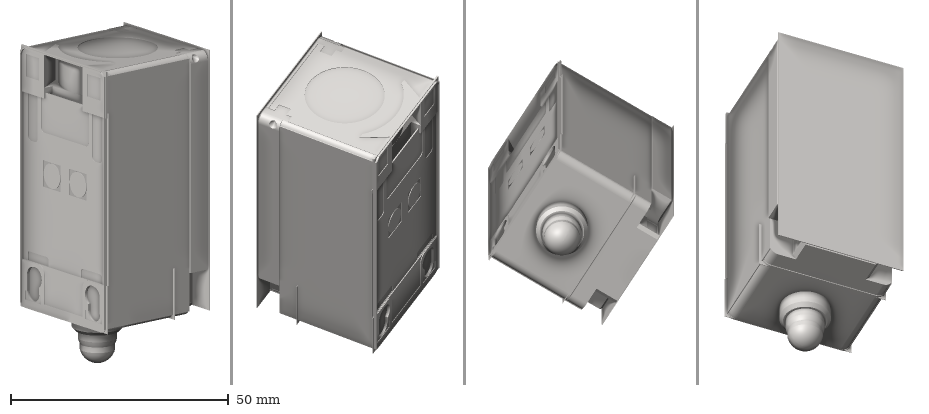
import cadquery as cq
import math


overall_width = 31.7
overall_depth = 31.1
overall_height = 74.1
plunger_length = 11.8
sheet = 0.2
flange_thickness = 0.11
mark_depth = 0.15

front_y = -overall_depth / 2
back_y = overall_depth / 2
top_z = overall_height - plunger_length

body_width = 30.5
body_height = top_z - sheet
edge_radius = 2.15
face_setback = 0.9
plate_setback = 0.45
face_y = front_y + face_setback
plate_y = front_y + plate_setback
side_skin_bottom = 1.05
side_skin_drop = 1.1
top_skin_width = 27.6

lid_width = 31.3
lid_front_y = 9.7
lid_bottom = 10.2
lid_chamfer = 0.45
back_plate_bottom = 0.4

core_width = 19.3
core_neck_front_y, core_neck_bottom = 10.2, 1.05
core_chamfer = 0.9
wedge_size, cove_radius = 1.5, 2.45
core_panel_front_y, core_panel_back_y = 12.0, 14.8
core_panel_bottom, core_panel_top = 1.4, 7.25
floor_groove_y, floor_groove_depth = 5.5, 1.05

seam_width, seam_y = 24.0, 14.2
hook_front_y, hook_outer = 8.3, 13.8
tongue_inner, tongue_front_y, tongue_back_y = 9.85, 9.7, 12.75
dimple_y, dimple_drop, dimple_radius, dimple_length = 11.4, 1.05, 1.2, 1.7

face_plate_bottom = 11.4
face_plate_drop = 9.85
face_plate_top = top_z - face_plate_drop
rear_flange_y = 4.9
rear_flange_height = 12.15

bore_y = 1.0
circle_radius = 9.2
pocket_wall_radius = 13.55
pocket_back_y = -8.75
pocket_back_half = 10.75
pocket_front_half = 7.0
pocket_depth = 8.5
well_depth = 13.35
well_wall = 0.45

tab_height = 11.05
tab_outer = 15.5
window_inner, window_outer = 8.8, 13.5
window_drop, window_height = 1.85, 5.3
panel_width, panel_drop = 17.35, 19.35
groove_x, groove_width, groove_drop = 11.7, 3.55, 22.3
panel_radius = 1.0
lamp_x, lamp_drop, lamp_square, lamp_diameter = 4.75, 29.1, 6.3, 6.0
ear_x, ear_width, ear_top, ear_radius = 9.7, 7.55, 13.55, 0.75

foot_width = 30.4
foot_top = 11.3
foot_radius = 1.5
web_bottom, web_radius = 2.3, 2.0
slot_x, slot_radius, slot_low_z, slot_high_z = 11.05, 2.15, 4.2, 8.15
keyhole_x, keyhole_radius, keyhole_z = 10.45, 2.6, 7.85
keyhole_depth = 0.75
latch_width, latch_height, latch_bottom = 5.85, 2.15, 2.0

plunger_y = -5.05
collar_radius, collar_end, collar_lip = 5.9, 3.1, 4.0
collar_lip_radius = 5.1
stem_radius, stem_end, stem_lip = 4.5, 5.8, 7.1
tip_radius, tip_end = 4.1, 8.45

SIDES = (-1, 1)


def box(x0, x1, y0, y1, z0, z1):
    """Axis-aligned block between two opposite corners."""
    size = (abs(x1 - x0), y1 - y0, z1 - z0)
    return cq.Workplane("XY").box(*size, centered=False).translate((min(x0, x1), y0, z0))


def wide_box(width, y0, y1, z0, z1):
    """Block centred on the plane of symmetry."""
    return box(-width / 2, width / 2, y0, y1, z0, z1)


def front_plane(y):
    """Sketch plane facing -Y; positive extrusion goes toward -Y."""
    return cq.Workplane("XZ", origin=(0, y, 0))


def make_housing():
    """Rounded block with thin flat skins over its long edges and a rim around its front face."""
    body = wide_box(body_width, front_y, lid_front_y, 0, body_height)
    body = body.edges("|Y").fillet(edge_radius)
    skin_top = top_z - side_skin_drop
    for side in SIDES:
        outer = side * body_width / 2
        inner = outer - side * sheet
        body = body.union(box(outer, inner, front_y, lid_front_y, side_skin_bottom, skin_top))
    body = body.union(wide_box(top_skin_width, front_y, hook_front_y, body_height - sheet, body_height))
    recess = wide_box(body_width - 2 * sheet, front_y, face_y, 0, body_height - sheet)
    return body.cut(recess.edges("|Y and >Z").fillet(edge_radius - sheet))


def make_rear_core():
    """Narrow block under the lid, with a shallow neck and panel in each side and flared joints to the lid."""
    core = wide_box(core_width, lid_front_y, back_y - sheet, 0, lid_bottom)
    core = core.edges("|Y and <Z").chamfer(core_chamfer)
    for side in SIDES:
        outer = side * core_width / 2
        neck = outer - side * mark_depth
        core = core.cut(
            box(outer, neck, core_neck_front_y, back_y - sheet, core_neck_bottom, lid_bottom))
        core = core.cut(
            box(neck, neck - side * mark_depth, core_panel_front_y, core_panel_back_y,
                core_panel_bottom, core_panel_top))
        wedge = (
            front_plane(core_neck_front_y)
            .moveTo(neck, lid_bottom - wedge_size)
            .lineTo(neck + side * wedge_size, lid_bottom)
            .lineTo(neck, lid_bottom)
            .close()
            .extrude(core_neck_front_y - core_panel_front_y)
        )
        cove_x = neck + side * cove_radius
        cove_z = lid_bottom - cove_radius
        cove = box(neck, cove_x, core_panel_front_y, core_panel_back_y, cove_z, lid_bottom)
        hollow = (
            front_plane(core_panel_front_y).center(cove_x, cove_z)
            .circle(cove_radius).extrude(core_panel_front_y - core_panel_back_y)
        )
        core = core.union(wedge).union(cove.cut(hollow))
    return core


def make_lid():
    """Rear lid with rounded upper corners and a thin square-cornered back plate."""
    lid = wide_box(lid_width, lid_front_y, back_y - sheet, lid_bottom, body_height)
    lid = lid.edges("|Y and >Z").fillet(edge_radius)
    lid = lid.faces(">Y").edges().chamfer(lid_chamfer)
    return lid.union(wide_box(lid_width, back_y - sheet, back_y, back_plate_bottom, top_z))


def make_flanges():
    """Three thin plates that stand out on both sides of the housing."""
    def flange(y, z0, z1):
        return wide_box(overall_width, y, y + flange_thickness, z0, z1)

    face_plate = flange(face_y, face_plate_bottom, face_plate_top)
    foot_flange = flange(plate_y + mark_depth, 0, face_plate_bottom)
    rear_flange = flange(rear_flange_y, 0, rear_flange_height)
    return face_plate.union(foot_flange).union(rear_flange)


def pocket_outline(z):
    """Dovetail opening to the front whose rear wall bulges forward."""
    arc_half = math.sqrt(pocket_wall_radius ** 2 - (bore_y - pocket_back_y) ** 2)
    return (
        cq.Workplane("XY", origin=(0, 0, z))
        .moveTo(-pocket_front_half, plate_y)
        .lineTo(-pocket_back_half, pocket_back_y)
        .lineTo(-arc_half, pocket_back_y)
        .threePointArc((0, bore_y - pocket_wall_radius), (arc_half, pocket_back_y))
        .lineTo(pocket_back_half, pocket_back_y)
        .lineTo(pocket_front_half, plate_y)
        .close()
    )


def add_tabs(body):
    """Two plates at the upper front corners, each with a shallow window."""
    for side in SIDES:
        body = body.union(
            box(side * pocket_front_half, side * tab_outer, plate_y, face_y, top_z - tab_height, top_z))
        window_top = top_z - window_drop
        body = body.cut(
            box(side * window_inner, side * window_outer, plate_y, plate_y + mark_depth,
                window_top - window_height, window_top))
    return body


def cut_top(body):
    """Shallow disc and a dovetail pocket with a front well, roofed by a thin raised panel."""
    disc = cq.Workplane("XY", origin=(0, bore_y, body_height)).circle(circle_radius)
    body = body.cut(disc.extrude(-mark_depth))
    pocket_floor = top_z - pocket_depth
    body = body.cut(pocket_outline(pocket_floor).extrude(body_height - sheet - pocket_floor))
    mouth = wide_box(2 * pocket_front_half, front_y, plate_y + sheet, pocket_floor, body_height - sheet)
    body = body.cut(mouth)
    wall_front_y = bore_y - pocket_wall_radius
    body = body.cut(
        wide_box(2 * pocket_front_half, face_y + well_wall, wall_front_y, top_z - well_depth, pocket_floor))
    body = body.cut(
        wide_box(2 * pocket_front_half, face_y, face_y + well_wall, face_plate_top, pocket_floor))
    return body.union(pocket_outline(body_height - sheet).extrude(2 * sheet))


def cut_lid_details(body):
    """Seam, shallow hook recesses and conical corner dimples at the rear of the top."""
    marks_z = body_height - mark_depth
    body = body.cut(wide_box(seam_width, seam_y, seam_y + mark_depth, marks_z, body_height))
    for side in SIDES:
        root = side * seam_width / 2
        body = body.cut(
            box(root, side * hook_outer, hook_front_y, back_y - sheet, marks_z, body_height))
        body = body.cut(
            box(root, side * tongue_inner, tongue_front_y, tongue_back_y, marks_z, body_height))
        dimple = cq.Solid.makeCone(
            dimple_radius, 0, dimple_length,
            pnt=cq.Vector(side * lid_width / 2, dimple_y, top_z - dimple_drop),
            dir=cq.Vector(-side, 0, 0),
        )
        body = body.cut(cq.Workplane(dimple))
    return body


def cut_front_panels(body):
    """Shallow centre panel, side grooves, lamp windows and ears on the front face."""
    panel_top = face_plate_top

    def panel(x, width, z0, z1, radius, edges):
        block = box(x - width / 2, x + width / 2, face_y, face_y + mark_depth, z0, z1)
        return block.edges(edges).fillet(radius)

    body = body.cut(panel(0, panel_width, top_z - panel_drop, panel_top, panel_radius, "|Y and <Z"))
    for side in SIDES:
        body = body.cut(
            panel(side * groove_x, groove_width, top_z - groove_drop, panel_top, panel_radius, "|Y and <Z"))
        body = body.cut(
            panel(side * ear_x, ear_width, face_plate_bottom, ear_top, ear_radius, "|Y and >Z"))
        lamp = front_plane(face_y).center(side * lamp_x, top_z - lamp_drop)
        body = body.cut(lamp.rect(lamp_square, lamp_square).extrude(-mark_depth))
        body = body.union(lamp.circle(lamp_diameter / 2).extrude(-mark_depth))
    return body


def add_foot(body):
    """Foot plate with a shallow centre web and a keyhole slot on each side."""
    foot = wide_box(foot_width, plate_y, face_y, 0, foot_top)
    body = body.union(foot.edges("|Y and <Z").fillet(foot_radius))
    web_y = plate_y + mark_depth
    web = wide_box(2 * pocket_front_half, plate_y, web_y, web_bottom, foot_top)
    for side in SIDES:
        round_x = side * (pocket_front_half + web_radius)
        round_z = foot_top - web_radius
        corner = box(side * pocket_front_half, round_x, plate_y, web_y, round_z, foot_top)
        leg_round = front_plane(web_y).center(round_x, round_z).circle(web_radius).extrude(mark_depth)
        web = web.union(corner.cut(leg_round))
    body = body.cut(web)
    for side in SIDES:
        middle = (slot_low_z + slot_high_z) / 2
        length = slot_high_z - slot_low_z + 2 * slot_radius
        slot = (
            front_plane(plate_y).center(side * slot_x, middle)
            .slot2D(length, 2 * slot_radius, 90).extrude(-keyhole_depth)
        )
        head = (
            front_plane(plate_y).center(side * keyhole_x, keyhole_z)
            .circle(keyhole_radius).extrude(-keyhole_depth)
        )
        latch = (
            front_plane(plate_y).center(side * slot_x, latch_bottom + latch_height / 2)
            .rect(latch_width, latch_height).extrude(-mark_depth)
        )
        body = body.cut(slot).cut(head).cut(latch)
    return body


def make_plunger():
    """Stepped, domed plunger turned about a vertical axis."""
    dome_height = plunger_length - tip_end
    dome_radius = (tip_radius ** 2 + dome_height ** 2) / (2 * dome_height)
    half_angle = math.asin(tip_radius / dome_radius) / 2
    dome_middle = (
        dome_radius * math.sin(half_angle),
        -plunger_length + dome_radius * (1 - math.cos(half_angle)),
    )
    stem_round_middle = (
        tip_radius + (stem_radius - tip_radius) * math.sqrt(0.5),
        -stem_end - (stem_lip - stem_end) / 2,
    )
    profile = (
        cq.Workplane("XZ")
        .moveTo(0, sheet)
        .lineTo(collar_radius, sheet)
        .lineTo(collar_radius, -collar_end)
        .lineTo(collar_lip_radius, -collar_lip)
        .lineTo(stem_radius, -collar_lip)
        .lineTo(stem_radius, -stem_end)
        .threePointArc(stem_round_middle, (tip_radius, -stem_lip))
        .lineTo(tip_radius, -tip_end)
        .threePointArc(dome_middle, (0, -plunger_length))
        .close()
    )
    return profile.revolve(360, (0, 0, 0), (0, 1, 0)).translate((0, plunger_y, 0))


def cut_floor_groove(body):
    """Narrow groove across the floor behind the rear flange."""
    return body.cut(
        wide_box(overall_width, floor_groove_y, floor_groove_y + sheet, 0, floor_groove_depth))


result = make_housing().union(make_rear_core()).union(make_lid()).union(make_flanges())
result = add_tabs(result)
result = cut_top(result)
result = cut_lid_details(result)
result = cut_front_panels(result)
result = add_foot(result)
result = cut_floor_groove(result)
result = result.union(make_plunger())